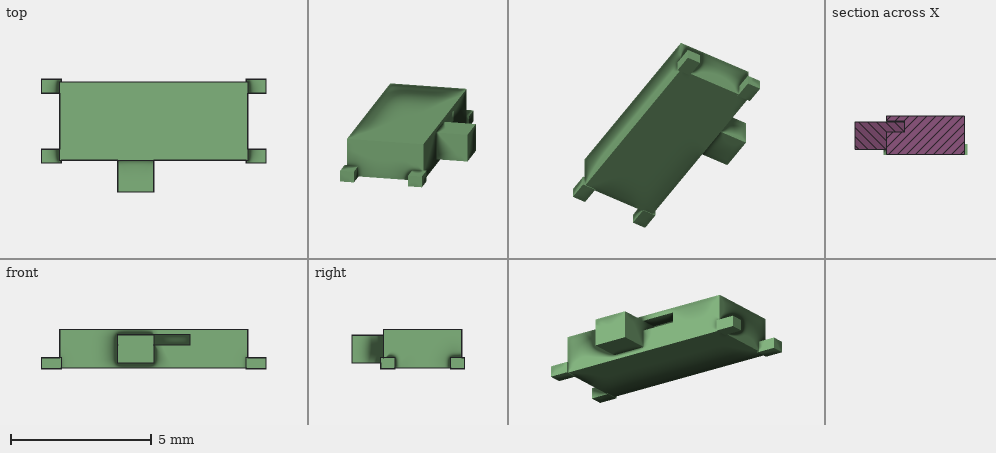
import cadquery as cq

overall_length = 8.01
overall_height = 1.4

housing_length = 6.705
housing_width = 2.795
foot_standoff = 0.025

foot_length = 0.71
foot_width = 0.505
foot_height = 0.4
feet_span = 2.995

knob_length = 1.3
knob_projection = 1.13
knob_height = 1.0
knob_bottom = 0.2

slot_length = 2.58
slot_bottom = 0.84
slot_height = 0.38
slot_depth = 0.64

housing_front = -housing_width / 2
slider_left = -slot_length / 2


def block(x_start, y_start, z_start, length, width, height):
    """Box given by its minimum corner and its sizes along X, Y and Z."""
    return cq.Workplane("XY").box(length, width, height, centered=False).translate((x_start, y_start, z_start))


def make_housing():
    """Slotted case with a mounting foot at each corner."""
    housing = block(-housing_length / 2, housing_front, foot_standoff,
                    housing_length, housing_width, overall_height - foot_standoff)

    foot_x = (overall_length - foot_length) / 2
    foot_y = (feet_span - foot_width) / 2
    for x_side in (-1, 1):
        for y_side in (-1, 1):
            foot = block(x_side * foot_x - foot_length / 2, y_side * foot_y - foot_width / 2, 0,
                         foot_length, foot_width, foot_height)
            housing = housing.union(foot)

    slot = block(slider_left, housing_front, slot_bottom, slot_length, slot_depth, slot_height)
    return housing.cut(slot)


def make_slider():
    """Knob against the front wall, with a stem reaching to the back of the slot."""
    knob_top = knob_bottom + knob_height
    knob = block(slider_left, housing_front - knob_projection, knob_bottom,
                 knob_length, knob_projection, knob_height)
    stem = block(slider_left, housing_front, slot_bottom,
                 knob_length, slot_depth, knob_top - slot_bottom)
    return knob.union(stem)


housing = make_housing()
slider = make_slider()

result = cq.Compound.makeCompound([housing.val(), slider.val()])